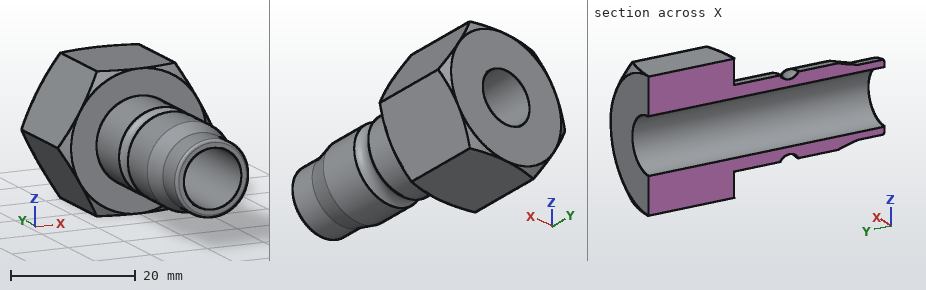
import cadquery as cq
import math


total_length = 44.0
hex_sides = 6
hex_length = 16.0
hex_across_flats = 24.0
bore_diameter = 10.2

chamfer_angle = 30.0

stem_radius = 15.0 / 2
tip_radius = 13.0 / 2
tip_fillet = 0.5
tip_length = 5.0
taper_length = 3.75

groove_center = 17.75
groove_width = 3.35
groove_bottom_radius = 6.5

hex_across_corners = hex_across_flats / math.cos(math.pi / hex_sides)
hex_start = total_length - hex_length
flat_radius = hex_across_flats / 2
corner_radius = hex_across_corners / 2
chamfer_length = (corner_radius - flat_radius) * math.tan(math.radians(chamfer_angle))


def make_revolved(profile):
    """Revolve a closed XY profile (X is the radius) a full turn about the Y axis."""
    return profile.close().revolve(360, (0, 0, 0), (0, 1, 0))


def make_hex_head():
    """Hexagonal prism with its corners on the X axis, chamfered conically at both ends."""
    prism = (
        cq.Workplane("XZ", origin=(0, total_length, 0))
        .polygon(hex_sides, hex_across_corners)
        .extrude(hex_length)
    )
    chamfer_envelope = make_revolved(
        cq.Workplane("XY")
        .moveTo(0, hex_start)
        .lineTo(flat_radius, hex_start)
        .lineTo(corner_radius, hex_start + chamfer_length)
        .lineTo(corner_radius, total_length - chamfer_length)
        .lineTo(flat_radius, total_length)
        .lineTo(0, total_length)
    )
    return prism.intersect(chamfer_envelope)


def make_stem():
    """Round stem with filleted tip, taper and locking groove, up to the hexagon's face."""
    groove_start = groove_center - groove_width / 2
    groove_end = groove_center + groove_width / 2
    fillet_mid_offset = tip_fillet * (1 - math.sqrt(0.5))
    return make_revolved(
        cq.Workplane("XY")
        .moveTo(0, 0)
        .lineTo(tip_radius - tip_fillet, 0)
        .threePointArc(
            (tip_radius - fillet_mid_offset, fillet_mid_offset),
            (tip_radius, tip_fillet),
        )
        .lineTo(tip_radius, tip_length)
        .lineTo(stem_radius, tip_length + taper_length)
        .lineTo(stem_radius, groove_start)
        .threePointArc((groove_bottom_radius, groove_center), (stem_radius, groove_end))
        .lineTo(stem_radius, hex_start)
        .lineTo(0, hex_start)
    )


def make_bore():
    """Straight through bore."""
    return (
        cq.Workplane("XZ", origin=(0, total_length, 0))
        .circle(bore_diameter / 2)
        .extrude(total_length)
    )


result = make_hex_head().union(make_stem()).cut(make_bore())